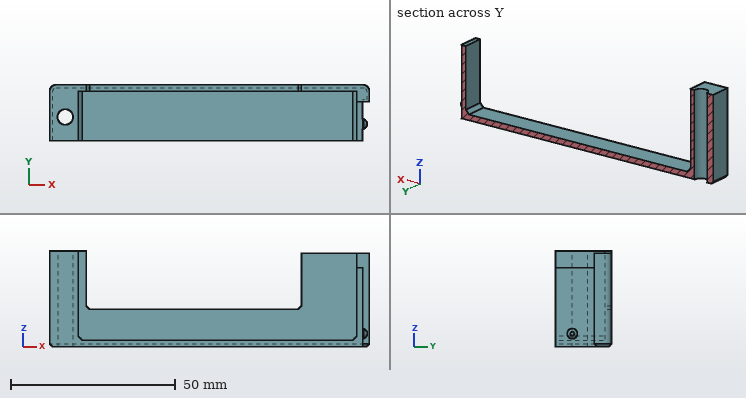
import cadquery as cq

length = 97.1
depth = 17.1
height = 29.1
right_end_height = 28.45

wall = 2.0
post_width = 8.6
flange_overhang = 2.0
end_wall_thickness = 1.7
end_wall_outer = length - flange_overhang
end_wall_inner = end_wall_outer - end_wall_thickness
cavity_chamfer = 1.3
flange_front = depth - 5.2
end_wall_height = 24.0

opening_left = 11.2
opening_right = 76.4
opening_bottom = 11.5
opening_chamfer = 1.0

corner_radius = 1.9
bottom_chamfer = 0.9

hole_diameter = 4.7
hole_x = 4.8
hole_y = 7.3

pin_diameter = 3.1
pin_tip_diameter = 1.2
pin_straight = 0.4
pin_cone = (pin_diameter - pin_tip_diameter) / 2
pin_y = 5.1
pin_z = 4.0


def block(x_min, x_max, y_min, y_max, z_min, z_max):
    """Box given by its limits along each axis."""
    size = (x_max - x_min, y_max - y_min, z_max - z_min)
    return cq.Workplane("XY").box(*size, centered=False).translate((x_min, y_min, z_min))


def outer_body():
    """Solid outline with a flange at the back right and eased edges.

    The bottom is chamfered all round except along the front and the end wall.
    """
    body = (
        cq.Workplane("XY")
        .polyline([
            (0, 0),
            (end_wall_outer, 0),
            (end_wall_outer, flange_front),
            (length, flange_front),
            (length, depth),
            (0, depth),
        ])
        .close()
        .extrude(height)
    )
    body = body.edges("|Z and >Y").fillet(corner_radius)
    front_edge = body.faces("<Z").edges("<Y")
    end_wall_edge = body.faces("<Z").edges(
        cq.selectors.NearestToPointSelector((end_wall_outer, flange_front / 2, 0))
    )
    eased_edges = body.faces("<Z").edges().newObject([
        edge
        for edge in body.faces("<Z").edges().vals()
        if not edge.isSame(front_edge.val()) and not edge.isSame(end_wall_edge.val())
    ])
    return eased_edges.chamfer(bottom_chamfer)


def cavity():
    """Pocket open to the front and top, with chamfers along both ends of its floor."""
    return (
        block(post_width, end_wall_inner, 0, depth - wall, wall, height)
        .edges("|Y and <Z")
        .chamfer(cavity_chamfer)
    )


def back_opening():
    """Notch through the back wall with chamfered lower corners."""
    return (
        block(opening_left, opening_right, 0, depth, opening_bottom, height)
        .edges("|Y and <Z")
        .chamfer(opening_chamfer)
    )


def post_hole():
    """Vertical hole through the left post."""
    return cq.Workplane("XY").center(hole_x, hole_y).circle(hole_diameter / 2).extrude(height)


def pin():
    """Short cylinder with a conical tip, rooted inside the end wall."""
    root = (end_wall_inner + end_wall_outer) / 2
    shoulder = end_wall_outer + pin_straight
    tip = shoulder + pin_cone
    return (
        cq.Workplane("XY")
        .polyline([
            (root, 0),
            (root, pin_diameter / 2),
            (shoulder, pin_diameter / 2),
            (tip, pin_tip_diameter / 2),
            (tip, 0),
        ])
        .close()
        .revolve(360, (0, 0, 0), (1, 0, 0))
        .translate((0, pin_y, pin_z))
    )


right_end_trim = block(opening_right, length, 0, depth, right_end_height, height)
end_wall_trim = block(end_wall_inner, length, 0, flange_front, end_wall_height, height)

result = (
    outer_body()
    .cut(cavity())
    .cut(back_opening())
    .cut(right_end_trim)
    .cut(end_wall_trim)
    .cut(post_hole())
    .union(pin())
)